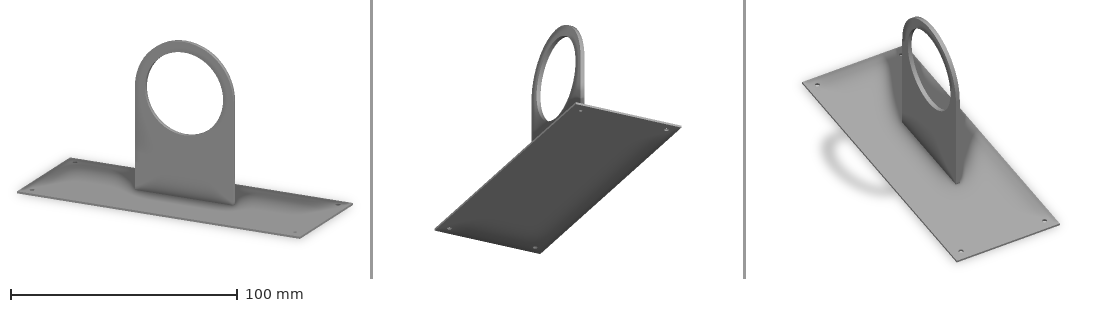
import cadquery as cq

base_length = 139.5
base_width = 52.0
base_thickness = 1.0

total_height = 73.5
tab_width = 48.4
tab_thickness = 2.0
ring_bore_diameter = 38.5
tab_radius = tab_width / 2
ring_center_height = total_height - tab_radius

hole_inset = 4.9
hole_diameter = 2.2
small_hole_diameter = 1.5
hole_x = base_length / 2 - hole_inset
hole_y = base_width / 2 - hole_inset


def make_base():
    plate = cq.Workplane("XY").box(base_length, base_width, base_thickness, centered=(True, True, False))
    plate = (
        plate.faces(">Z").workplane(origin=(0, 0, 0))
        .pushPoints([(-hole_x, -hole_y), (-hole_x, hole_y), (hole_x, hole_y)])
        .hole(hole_diameter)
    )
    return (
        plate.faces(">Z").workplane(origin=(0, 0, 0))
        .pushPoints([(hole_x, -hole_y)])
        .hole(small_hole_diameter)
    )


def make_tab():
    outline = (
        cq.Workplane("XZ")
        .moveTo(-tab_radius, base_thickness)
        .lineTo(tab_radius, base_thickness)
        .lineTo(tab_radius, ring_center_height)
        .threePointArc((0, total_height), (-tab_radius, ring_center_height))
        .close()
    )
    tab = outline.extrude(tab_thickness / 2, both=True)
    bore = (
        cq.Workplane("XZ")
        .center(0, ring_center_height)
        .circle(ring_bore_diameter / 2)
        .extrude(tab_thickness, both=True)
    )
    return tab.cut(bore)


result = make_base().union(make_tab())